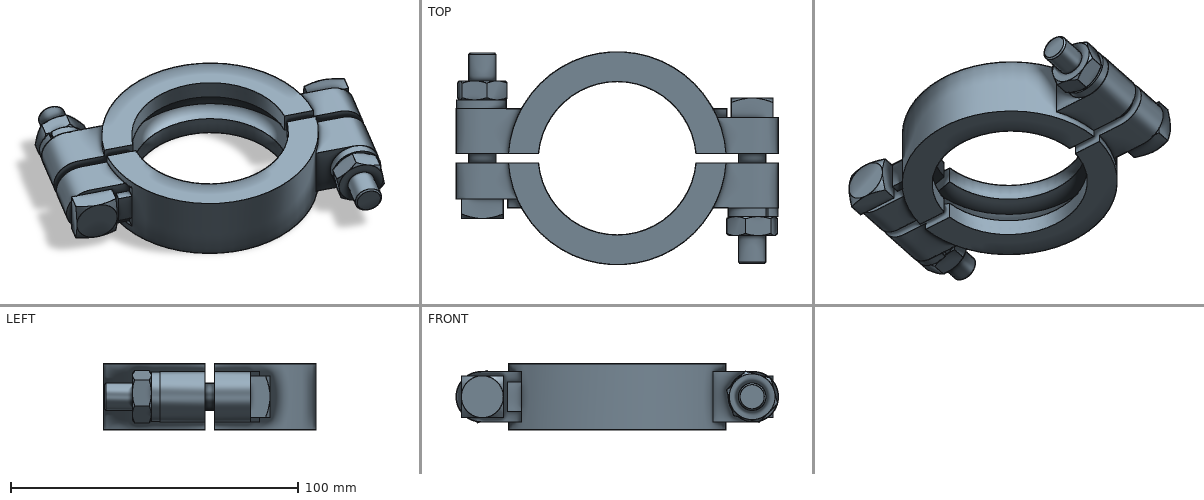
import cadquery as cq
import math


ring_height = 23.1
outer_radius = 38.0
bore_radius = 27.5
overall_depth = 74.3
gap = 3.3
half_gap = gap / 2
half_shift = outer_radius - overall_depth / 2

lip_height = 6.5
groove_depth = 5.6
groove_flank_angle = 20.0

overall_length = 112.3
ear_height = 17.6
ear_radius = ear_height / 2
ear_x = overall_length / 2 - ear_radius
nut_ear_y = 17.3
head_ear_y = 14.3
clearance_diameter = 10.3

pad_height = 10.1
pad_end_x = 38.2
relief_x = math.sqrt(outer_radius**2 - (nut_ear_y + half_shift) ** 2)

bolt_diameter = 9.5
bolt_offset = 0.3
bolt_x = ear_x - bolt_offset
bolt_tip_y = 36.7
bolt_tip_chamfer = 0.6
head_width = 14.6
head_height = 6.7
head_corner_drop = 1.6

washer_diameter = 17.4
washer_thickness = 3.0
washer_split_width = 0.9

nut_width = 16.0
nut_height = 6.6
nut_corner_drop = 0.8


def groove_cutter():
    """Bore and V groove of the ring, as a solid of revolution about Z."""
    mouth = ring_height / 2 - lip_height
    bottom = mouth - groove_depth * math.tan(math.radians(groove_flank_angle))
    groove_radius = bore_radius + groove_depth
    profile = (
        cq.Workplane("XZ")
        .moveTo(0, -ring_height / 2)
        .lineTo(bore_radius, -ring_height / 2)
        .lineTo(bore_radius, -mouth)
        .lineTo(groove_radius, -bottom)
        .lineTo(groove_radius, bottom)
        .lineTo(bore_radius, mouth)
        .lineTo(bore_radius, ring_height / 2)
        .lineTo(0, ring_height / 2)
        .close()
    )
    return profile.revolve(360, (0, 0, 0), (0, 1, 0))


def ear(side, end_y):
    """Round-ended ear on the +X (side = 1) or -X (side = -1) end of the upper half."""
    length = end_y - half_gap
    plate_width = ear_x - bore_radius
    plate = (
        cq.Workplane("XY")
        .box(plate_width, length, ear_height)
        .translate((side * (bore_radius + plate_width / 2), half_gap + length / 2, 0))
    )
    round_end = (
        cq.Workplane("XZ", origin=(side * ear_x, end_y, 0))
        .circle(ear_radius)
        .extrude(length)
    )
    return plate.union(round_end)


def bolt_hole(side):
    """Clearance hole through an ear."""
    return (
        cq.Workplane("XZ", origin=(side * ear_x, nut_ear_y, 0))
        .circle(clearance_diameter / 2)
        .extrude(nut_ear_y)
    )


def upper_half():
    """Half ring on the +Y side: nut ear at -X, head ear with its pad at +X."""
    body = (
        cq.Workplane("XY", origin=(0, -half_shift, -ring_height / 2))
        .circle(outer_radius)
        .extrude(ring_height)
    )
    gap_side = (
        cq.Workplane("XY")
        .box(overall_length, overall_depth, 2 * ring_height)
        .translate((0, half_gap - overall_depth / 2, 0))
    )
    relief = (
        cq.Workplane("XY")
        .box(overall_length, nut_ear_y - head_ear_y, ear_height, centered=(False, False, True))
        .translate((relief_x, head_ear_y, 0))
    )
    pad_width = pad_end_x - bore_radius
    pad_length = nut_ear_y - half_gap
    pad = (
        cq.Workplane("XY")
        .box(pad_width, pad_length, pad_height)
        .translate((bore_radius + pad_width / 2, half_gap + pad_length / 2, 0))
    )
    body = body.cut(gap_side).union(ear(-1, nut_ear_y)).union(ear(1, head_ear_y))
    body = body.cut(relief).union(pad)
    body = body.cut(groove_cutter().translate((0, -half_shift, 0)))
    return body.cut(bolt_hole(-1)).cut(bolt_hole(1))


def corner_cone(across_flats, corner_radius, drop, height):
    """Turned blank on Z, at z = 0 to height, whose conical top trims only the corners of a head."""
    flat_radius = across_flats / 2
    return (
        cq.Workplane("XZ")
        .moveTo(0, 0)
        .lineTo(corner_radius, 0)
        .lineTo(corner_radius, height - drop)
        .lineTo(flat_radius, height)
        .lineTo(0, height)
        .close()
        .revolve(360, (0, 0, 0), (0, 1, 0))
    )


def bolt_head():
    """Square head standing on z = 0, with its top corners turned off."""
    block = cq.Workplane("XY").rect(head_width, head_width).extrude(head_height)
    corner_radius = head_width / math.sqrt(2)
    return block.intersect(corner_cone(head_width, corner_radius, head_corner_drop, head_height))


def nut(twist):
    """Hexagon nut standing on z = 0, turned by twist, with the corners of both faces turned off."""
    corner_radius = nut_width / math.sqrt(3)
    block = cq.Workplane("XY").polygon(6, 2 * corner_radius).extrude(nut_height)
    blank = corner_cone(nut_width, corner_radius, nut_corner_drop, nut_height)
    flipped_blank = blank.rotate((0, 0, 0), (1, 0, 0), 180).translate((0, 0, nut_height))
    return block.intersect(blank).intersect(flipped_blank).rotate((0, 0, 0), (0, 0, 1), twist)


def lock_washer(split_angle):
    """Washer standing on z = 0, split through one side at split_angle."""
    washer = (
        cq.Workplane("XY")
        .circle(washer_diameter / 2)
        .circle(clearance_diameter / 2)
        .extrude(washer_thickness)
    )
    split = (
        cq.Workplane("XY")
        .box(washer_diameter, washer_split_width, washer_thickness, centered=(False, True, False))
        .rotate((0, 0, 0), (0, 0, 1), split_angle)
    )
    return washer.cut(split)


def fastener(nut_twist, split_angle):
    """Bolt, washer and nut at +X, with the head at +Y and the nut at -Y.

    It is built along Z from the seat of the head and then laid down so that Z becomes -Y.
    """
    nut_seat = head_ear_y + nut_ear_y
    shank_length = head_ear_y + bolt_tip_y
    shank = (
        cq.Workplane("XY")
        .circle(bolt_diameter / 2)
        .extrude(shank_length)
        .faces(">Z")
        .chamfer(bolt_tip_chamfer)
    )
    head = bolt_head().rotate((0, 0, 0), (1, 0, 0), 180)
    washer = lock_washer(split_angle).translate((bolt_offset, 0, nut_seat))
    hex_nut = nut(nut_twist).translate((0, 0, nut_seat + washer_thickness))
    assembled = shank.union(head).union(washer).union(hex_nut)
    return assembled.rotate((0, 0, 0), (1, 0, 0), 90).translate((bolt_x, head_ear_y, 0))


def turn_about_ring_axis(shape):
    """The same shape, turned half a turn about Z."""
    return shape.rotate((0, 0, 0), (0, 0, 1), 180)


right_fastener = fastener(nut_twist=45, split_angle=56)
left_fastener = turn_about_ring_axis(fastener(nut_twist=40, split_angle=240))

half = upper_half()
result = half.union(turn_about_ring_axis(half)).union(right_fastener).union(left_fastener)